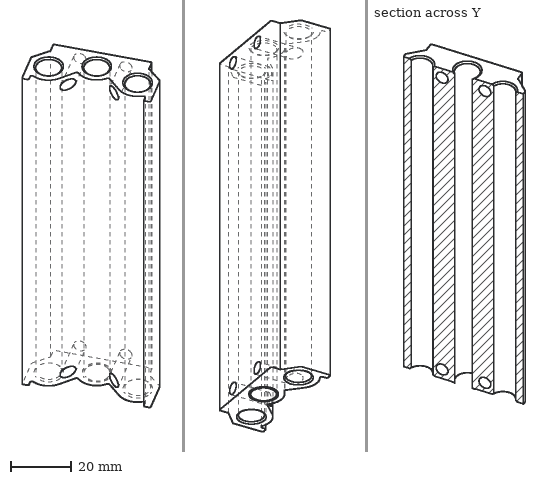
import cadquery as cq
import math

total_length = 132.5
width = 44.5
depth = 20.0
rim_height = 0.1
bar_length = total_length - rim_height

pad_width = 34.0
shoulder_start_y = -3.6
shoulder_end_y = -8.5
corner_radius = 0.5

leg_thickness = 2.4
side_wall_radius = 7.2
middle_wall_radius = 7.0
leg_root_radius = 0.7
valley_radius = 0.7

bore_diameter = 8.6
countersink_diameter = 9.8
countersink_depth = (countersink_diameter - bore_diameter) / 2
middle_bore_y = -7.2
side_bore_x = 15.4
side_bore_y = -11.5

cross_hole_diameter = 4.2
cross_hole_x = 8.0
cross_hole_end_distance = 4.0

half_width = width / 2
pad_x = pad_width / 2
leg_x = half_width - leg_thickness
leg_root_y = side_bore_y - math.sqrt(side_wall_radius**2 - (leg_x - side_bore_x) ** 2)

flank_offset = side_wall_radius * math.sin(math.radians(45))
flank_x = side_bore_x - flank_offset
flank_y = side_bore_y - flank_offset
flank_sum = flank_x + flank_y
flank_rise = flank_sum - middle_bore_y
valley_x = (flank_rise + math.sqrt(2 * middle_wall_radius**2 - flank_rise**2)) / 2
valley_y = flank_sum - valley_x


def make_bar():
    """Extrude the profile, with sharp corners."""
    return (
        cq.Workplane("XY")
        .moveTo(-pad_x, 0)
        .lineTo(pad_x, 0)
        .lineTo(pad_x, shoulder_start_y)
        .lineTo(half_width, shoulder_end_y)
        .lineTo(half_width, -depth)
        .lineTo(leg_x, -depth)
        .lineTo(leg_x, leg_root_y)
        .threePointArc((side_bore_x, side_bore_y - side_wall_radius), (flank_x, flank_y))
        .lineTo(valley_x, valley_y)
        .threePointArc((0, middle_bore_y - middle_wall_radius), (-valley_x, valley_y))
        .lineTo(-flank_x, flank_y)
        .threePointArc((-side_bore_x, side_bore_y - side_wall_radius), (-leg_x, leg_root_y))
        .lineTo(-leg_x, -depth)
        .lineTo(-half_width, -depth)
        .lineTo(-half_width, shoulder_end_y)
        .lineTo(-pad_x, shoulder_start_y)
        .close()
        .extrude(bar_length)
    )


def round_edges(body, corner, radius):
    """Fillet the lengthwise edge at a profile corner and its mirror image."""
    x, y = corner
    for edge_x in (-x, x):
        nearest = cq.selectors.NearestToPointSelector((edge_x, y, bar_length / 2))
        body = body.edges("|Z").edges(nearest).fillet(radius)
    return body


def countersink_bore(body, x, y, bottom_countersink):
    """Cut a through bore, countersunk on top and optionally at the bottom."""
    bore = cq.Workplane("XY").circle(bore_diameter / 2).extrude(bar_length)
    cone = cq.Workplane(
        cq.Solid.makeCone(countersink_diameter / 2, bore_diameter / 2, countersink_depth)
    )
    cutter = bore.union(cone.mirror("XY").translate((0, 0, bar_length)))
    if bottom_countersink:
        cutter = cutter.union(cone)
    return body.cut(cutter.translate((x, y, 0)))


def make_rim():
    """Low ring around the mouth of the middle bore, standing out from the bottom face."""
    return (
        cq.Workplane("XY")
        .center(0, middle_bore_y)
        .circle(countersink_diameter / 2)
        .circle(bore_diameter / 2)
        .extrude(-rim_height)
    )


def make_cross_holes():
    """The four cross holes, one near each corner of the bar."""
    spacing_z = bar_length - 2 * cross_hole_end_distance
    return (
        cq.Workplane("XZ")
        .center(0, bar_length / 2)
        .rect(2 * cross_hole_x, spacing_z, forConstruction=True)
        .vertices()
        .circle(cross_hole_diameter / 2)
        .extrude(depth)
    )


result = make_bar()

outer_corners = [
    (pad_x, 0),
    (half_width, shoulder_end_y),
    (half_width, -depth),
    (leg_x, -depth),
]
for corner in outer_corners:
    result = round_edges(result, corner, corner_radius)
result = round_edges(result, (leg_x, leg_root_y), leg_root_radius)
result = round_edges(result, (valley_x, valley_y), valley_radius)

result = result.cut(make_cross_holes())
for side_x in (-side_bore_x, side_bore_x):
    result = countersink_bore(result, side_x, side_bore_y, bottom_countersink=True)
result = countersink_bore(result, 0, middle_bore_y, bottom_countersink=False)
result = result.union(make_rim())